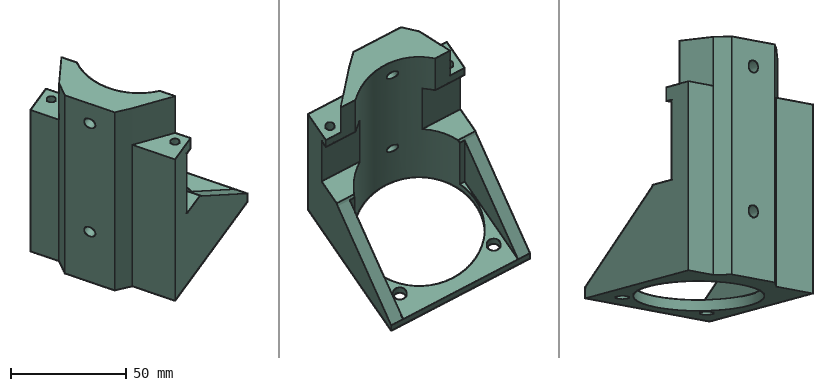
import cadquery as cq

width = 70.2
height = 106.1
total_depth = 76.3
rib_projection = 5.8
rear_y = width / 2
rib_front_y = rear_y - total_depth
block_front_y = rib_front_y + rib_projection

floor_thickness = 4.9
cheek_height = 42.4
slope_top_y = -10.1
slope_top_z = 41.3
cheek_top_y = -11.0
post_rear_y = -23.8
shoulder_rear_y = -20.2
shoulder_bottom = 78.1
shoulder_top = 84.2

rib_left_x = -15.5
rib_right_x = 8.7
rib_chamfer_width = 5.7
head_rear_half_width = 27.7

bore_diameter = 57.0
pocket_width = 58.1
pocket_front_y = slope_top_y

floor_hole_diameter = 6.0
floor_hole_x = 23.8
floor_hole_y = 23.3
shoulder_hole_diameter = 4.0
shoulder_hole_depth = 12.7
shoulder_hole_x = 30.0
shoulder_hole_y = -25.3
rib_hole_diameter = 5.4
rib_hole_x = -3.4
rib_hole_heights = (29.9, 94.4)


def make_body():
    """Side profile extruded across the full width."""
    profile = [
        (block_front_y, 0),
        (rear_y, 0),
        (rear_y, floor_thickness),
        (slope_top_y, slope_top_z),
        (cheek_top_y, cheek_height),
        (post_rear_y, cheek_height),
        (post_rear_y, shoulder_bottom),
        (shoulder_rear_y, shoulder_bottom),
        (shoulder_rear_y, shoulder_top),
        (block_front_y, shoulder_top),
    ]
    return cq.Workplane("YZ").polyline(profile).close().extrude(width / 2, both=True)


def make_front_rib():
    """Chamfered rib below the shoulder, ending on the front of the block."""
    outline = [
        (rib_left_x - rib_chamfer_width, block_front_y),
        (rib_left_x, rib_front_y),
        (rib_right_x, rib_front_y),
        (rib_right_x + rib_chamfer_width, block_front_y),
    ]
    return cq.Workplane("XY").polyline(outline).close().extrude(height)


def make_head():
    """Tapered head above the shoulder, widening toward the rear."""
    outline = [
        (rib_left_x - rib_chamfer_width, block_front_y),
        (rib_right_x + rib_chamfer_width, block_front_y),
        (head_rear_half_width, shoulder_rear_y),
        (-head_rear_half_width, shoulder_rear_y),
    ]
    head = cq.Workplane("XY").workplane(offset=shoulder_top).polyline(outline).close()
    return head.extrude(height - shoulder_top)


def make_pocket():
    """Open-backed space between the cheeks, down to the floor."""
    depth = rear_y - pocket_front_y
    plane = cq.Workplane("XY").workplane(offset=floor_thickness)
    pocket = plane.center(0, pocket_front_y + depth / 2).rect(pocket_width, depth)
    return pocket.extrude(cheek_height - floor_thickness)


def vertical_holes(diameter, hole_x, hole_y, bottom, top):
    """Mirrored pair of holes along Z."""
    points = [(-hole_x, hole_y), (hole_x, hole_y)]
    plane = cq.Workplane("XY").workplane(offset=bottom)
    return plane.pushPoints(points).circle(diameter / 2).extrude(top - bottom)


def make_rib_holes():
    """Holes from the front of the rib into the bore."""
    plane = cq.Workplane("XZ", origin=(0, rib_front_y, 0))
    points = [(rib_hole_x, z) for z in rib_hole_heights]
    return plane.pushPoints(points).circle(rib_hole_diameter / 2).extrude(-total_depth)


bore = cq.Workplane("XY").circle(bore_diameter / 2).extrude(height)
floor_holes = vertical_holes(
    floor_hole_diameter, floor_hole_x, floor_hole_y, 0, floor_thickness
)
shoulder_holes = vertical_holes(
    shoulder_hole_diameter,
    shoulder_hole_x,
    shoulder_hole_y,
    shoulder_top - shoulder_hole_depth,
    shoulder_top,
)

result = make_body().union(make_front_rib()).union(make_head())
result = result.cut(make_pocket()).cut(bore)
result = result.cut(floor_holes).cut(shoulder_holes).cut(make_rib_holes())